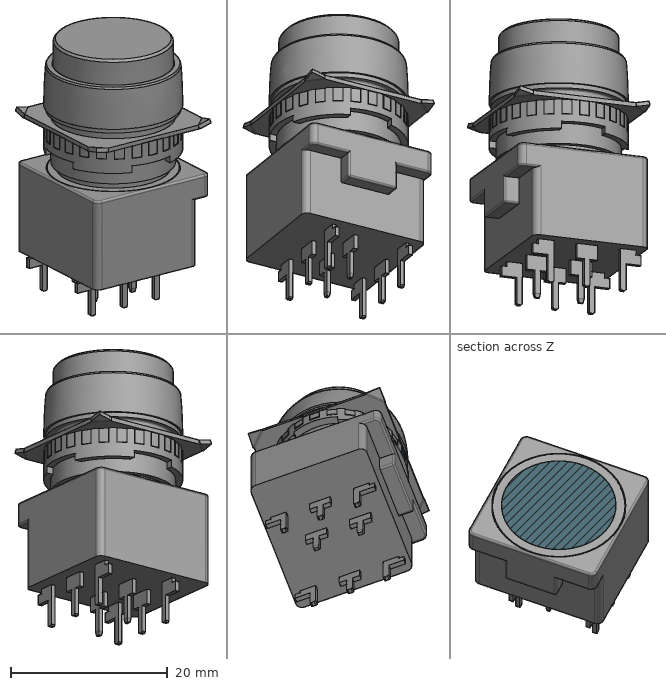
import cadquery as cq
import math

HOUSING_BOTTOM = 5.55
HOUSING_TOP = 17.7
NECK_TOP = 18.55
SKIRT_BOTTOM = 20.32
SKIRT_TOP = 21.25
SLOT_BOTTOM = 22.25
PLATE_BOTTOM = 24.18
PLATE_TOP = 24.75
FLANGE_BOTTOM = 25.77
BEZEL_BOTTOM = 26.37
BEZEL_TOP = 32.0
BUTTON_TOP = 35.4

BUTTON_BASE_RADIUS = 7.7
BUTTON_TOP_RADIUS = 7.68
BUTTON_CHAMFER_WIDTH = 0.3
BUTTON_CHAMFER_HEIGHT = 0.32
CLEARANCE = 0.1
BUTTON_GAP_DEPTH = 0.7
BEZEL_BOTTOM_RADIUS = 8.92
BEZEL_MIDDLE_RADIUS = 8.85
BEZEL_TOP_RADIUS = 8.67
BEZEL_CHAMFER_WIDTH = 0.15
BEZEL_CHAMFER_HEIGHT = 0.25
FLANGE_RADIUS = 8.67
FLANGE_ROOT_FILLET = 0.1
BARREL_RADIUS = 8.0
NECK_RADIUS = 7.33

SQUARE_SIDE = 17.8
HALF_SIDE = SQUARE_SIDE / 2

TAB_LEG = 1.88
TAB_ANGLE = 19.0

NUT_RADIUS = HALF_SIDE
SKIRT_GAP_WIDTH = 5.95
SLOT_COUNT = 24
SLOT_WIDTH = 1.27
SLOT_DEPTH = 0.1

CORNER_RADIUS = 0.85
EDGE_FILLET = 0.3
OVERHANG_BOTTOM = 14.6
REAR_FACE_Y = 6.9
LEVER_WIDTH = 7.08
LEVER_BOTTOM = 11.1
STEP_FILLET = 0.25
RING_GROOVE_OUTER_RADIUS = 8.55
RING_GROOVE_DEPTH = 0.35

TERMINAL_THICKNESS = 0.55
PRONG_WIDTH = 0.78
SHOULDER_BOTTOM = 3.6
CONTACT_ROWS_X = (-6.9, 3.82)
CONTACT_CENTER_Y = -1.03
CONTACT_REACH_INNER = 4.6
CONTACT_REACH_STEP = 6.73
CONTACT_REACH_OUTER = 7.45
STEP_BOTTOM = 4.92
COMMON_SHOULDER_WIDTH = 2.8
CONTACT_TIP_CHAMFER = 0.18
LAMP_SPACING = 6.02
LAMP_SHOULDER_WIDTH = 2.9
LAMP_TIP_HEIGHT = 0.53
LAMP_TIP_INSET = 0.1


def make_cylinder(radius, bottom, top):
    """Cylinder about Z between two heights."""
    return cq.Workplane("XY", origin=(0, 0, bottom)).circle(radius).extrude(top - bottom)


def make_operator():
    """Button, bezel, barrel and neck as one turned body."""
    gap_bottom = BEZEL_TOP - BUTTON_GAP_DEPTH
    bezel_rim = BEZEL_TOP - BEZEL_CHAMFER_HEIGHT
    return (
        cq.Workplane("XZ")
        .moveTo(0, HOUSING_TOP)
        .lineTo(NECK_RADIUS, HOUSING_TOP)
        .lineTo(NECK_RADIUS, NECK_TOP)
        .lineTo(BARREL_RADIUS, NECK_TOP)
        .lineTo(BARREL_RADIUS, FLANGE_BOTTOM - FLANGE_ROOT_FILLET)
        .radiusArc((BARREL_RADIUS + FLANGE_ROOT_FILLET, FLANGE_BOTTOM), FLANGE_ROOT_FILLET)
        .lineTo(FLANGE_RADIUS, FLANGE_BOTTOM)
        .lineTo(FLANGE_RADIUS, BEZEL_BOTTOM)
        .lineTo(BEZEL_BOTTOM_RADIUS, BEZEL_BOTTOM)
        .threePointArc((BEZEL_MIDDLE_RADIUS, (BEZEL_BOTTOM + bezel_rim) / 2), (BEZEL_TOP_RADIUS, bezel_rim))
        .lineTo(BEZEL_TOP_RADIUS - BEZEL_CHAMFER_WIDTH, BEZEL_TOP)
        .lineTo(BUTTON_BASE_RADIUS + CLEARANCE, BEZEL_TOP)
        .lineTo(BUTTON_BASE_RADIUS + CLEARANCE, gap_bottom)
        .lineTo(BUTTON_BASE_RADIUS, gap_bottom)
        .lineTo(BUTTON_BASE_RADIUS, BEZEL_TOP)
        .lineTo(BUTTON_TOP_RADIUS, BUTTON_TOP - BUTTON_CHAMFER_HEIGHT)
        .lineTo(BUTTON_TOP_RADIUS - BUTTON_CHAMFER_WIDTH, BUTTON_TOP)
        .lineTo(0, BUTTON_TOP)
        .close()
        .revolve(360, (0, 0, 0), (0, 1, 0))
    )


def make_corner_tab():
    """Corner triangle at +X +Y, bent up about its fold line, with the opened wedge filled."""
    thickness = PLATE_TOP - PLATE_BOTTOM
    fold = HALF_SIDE - TAB_LEG
    fold_start = cq.Vector(HALF_SIDE, fold, PLATE_TOP)
    fold_end = cq.Vector(fold, HALF_SIDE, PLATE_TOP)
    flap = (
        cq.Workplane("XY", origin=(0, 0, PLATE_BOTTOM))
        .polyline([(HALF_SIDE, fold), (HALF_SIDE, HALF_SIDE), (fold, HALF_SIDE)])
        .close()
        .extrude(thickness)
        .rotate(fold_end.toTuple(), fold_start.toTuple(), TAB_ANGLE)
    )
    angle = math.radians(TAB_ANGLE)
    fold_line_plane = cq.Plane(origin=fold_start.toTuple(), xDir=(1, 1, 0), normal=(1, -1, 0))
    wedge_outline = [
        (0, 0),
        (0, -thickness),
        (thickness * math.sin(angle), -thickness * math.cos(angle)),
    ]
    wedge = cq.Workplane(fold_line_plane).polyline(wedge_outline).close().extrude(-TAB_LEG * math.sqrt(2))
    return flap.union(wedge)


def make_plate():
    """Square washer around the barrel with four bent-up corners."""
    plate = (
        cq.Workplane("XY", origin=(0, 0, PLATE_BOTTOM))
        .rect(SQUARE_SIDE, SQUARE_SIDE)
        .extrude(PLATE_TOP - PLATE_BOTTOM)
        .edges("|Z")
        .chamfer(TAB_LEG)
    )
    tab = make_corner_tab()
    for quarter in range(4):
        plate = plate.union(tab.rotate((0, 0, 0), (0, 0, 1), 90 * quarter))
    return plate.cut(make_cylinder(BARREL_RADIUS, PLATE_BOTTOM, PLATE_TOP))


def make_nut():
    """Ring nut with grip slots at the top and a castellated skirt below."""
    ring = make_cylinder(NUT_RADIUS, SKIRT_BOTTOM, PLATE_BOTTOM)
    gap = (
        cq.Workplane("XY", origin=(0, 0, SKIRT_BOTTOM))
        .rect(2 * NUT_RADIUS, SKIRT_GAP_WIDTH)
        .extrude(SKIRT_TOP - SKIRT_BOTTOM)
    )
    crossing_gap = gap.rotate((0, 0, 0), (0, 0, 1), 90)

    slots = (
        cq.Workplane("XY", origin=(0, 0, SLOT_BOTTOM))
        .polarArray(NUT_RADIUS, 0, 360, SLOT_COUNT)
        .rect(NUT_RADIUS - BARREL_RADIUS, SLOT_WIDTH)
        .extrude(PLATE_BOTTOM - SLOT_BOTTOM)
    )
    slots = slots.cut(make_cylinder(NUT_RADIUS - SLOT_DEPTH, SLOT_BOTTOM, PLATE_BOTTOM))
    bore = make_cylinder(BARREL_RADIUS, SKIRT_BOTTOM, PLATE_BOTTOM)
    return ring.cut(gap).cut(crossing_gap).cut(slots).cut(bore)


def make_shell():
    """Square block whose lower part steps in at +Y under a full-size head, with a lever at the step."""
    head = (
        cq.Workplane("XY", origin=(0, 0, OVERHANG_BOTTOM))
        .rect(SQUARE_SIDE, SQUARE_SIDE)
        .extrude(HOUSING_TOP - OVERHANG_BOTTOM)
        .edges("|Z")
        .fillet(CORNER_RADIUS)
        .faces(">Z")
        .edges()
        .fillet(EDGE_FILLET)
        .faces("<Z")
        .edges()
        .fillet(STEP_FILLET)
    )
    lower_depth = REAR_FACE_Y + HALF_SIDE
    lower = (
        cq.Workplane("XY", origin=(0, REAR_FACE_Y - lower_depth / 2, HOUSING_BOTTOM))
        .rect(SQUARE_SIDE, lower_depth)
        .extrude(HOUSING_TOP - EDGE_FILLET - HOUSING_BOTTOM)
        .edges("|Z")
        .fillet(CORNER_RADIUS)
    )
    lever = (
        cq.Workplane("XY", origin=(0, (REAR_FACE_Y + HALF_SIDE) / 2, LEVER_BOTTOM))
        .rect(LEVER_WIDTH, HALF_SIDE - REAR_FACE_Y)
        .extrude(OVERHANG_BOTTOM + STEP_FILLET - LEVER_BOTTOM)
        .edges("(|Z and >Y) or (<Z and (not <Y))")
        .fillet(STEP_FILLET)
    )
    return head.union(lower).union(lever)


def cut_ring_groove(shell):
    """Narrow circular groove in the top face around the neck."""
    groove_bottom = HOUSING_TOP - RING_GROOVE_DEPTH
    groove = make_cylinder(RING_GROOVE_OUTER_RADIUS, groove_bottom, HOUSING_TOP)
    core = make_cylinder(RING_GROOVE_OUTER_RADIUS - CLEARANCE, groove_bottom, HOUSING_TOP)
    return shell.cut(groove.cut(core))


def make_end_contact(x, side):
    """Outer contact, its prong flush with the inner edge; side is +1 or -1 along Y."""
    inner = CONTACT_REACH_INNER
    prong_outer = inner + PRONG_WIDTH
    chamfer = CONTACT_TIP_CHAMFER
    outline = [
        (inner, HOUSING_BOTTOM),
        (inner, chamfer),
        (inner + chamfer, 0),
        (prong_outer - chamfer, 0),
        (prong_outer, chamfer),
        (prong_outer, SHOULDER_BOTTOM),
        (CONTACT_REACH_OUTER, SHOULDER_BOTTOM),
        (CONTACT_REACH_OUTER, STEP_BOTTOM),
        (CONTACT_REACH_STEP, STEP_BOTTOM),
        (CONTACT_REACH_STEP, HOUSING_BOTTOM),
    ]
    points = [(CONTACT_CENTER_Y + side * reach, z) for reach, z in outline]
    blade = cq.Workplane("YZ", origin=(x, 0, 0)).polyline(points).close()
    return blade.extrude(TERMINAL_THICKNESS / 2, both=True)


def make_shoulder(x, y, width):
    """Wide upper part of a terminal with a central prong."""
    return (
        cq.Workplane("XY", origin=(x, y, SHOULDER_BOTTOM))
        .rect(TERMINAL_THICKNESS, width)
        .extrude(HOUSING_BOTTOM - SHOULDER_BOTTOM)
    )


def make_prong(x, y):
    """Straight prong from the shoulder to the tip."""
    return cq.Workplane("XY", origin=(x, y, 0)).rect(TERMINAL_THICKNESS, PRONG_WIDTH).extrude(SHOULDER_BOTTOM)


def make_common_contact(x):
    """Middle contact of a row."""
    prong = make_prong(x, CONTACT_CENTER_Y).faces("<Z").edges("|X").chamfer(CONTACT_TIP_CHAMFER)
    return prong.union(make_shoulder(x, CONTACT_CENTER_Y, COMMON_SHOULDER_WIDTH))


def make_lamp_terminal(y):
    """Lamp terminal on the middle plane, its tip tapered on all four sides."""
    prong = make_prong(0, y).faces("<Z").chamfer(LAMP_TIP_HEIGHT, LAMP_TIP_INSET)
    return prong.union(make_shoulder(0, y, LAMP_SHOULDER_WIDTH))


def make_housing():
    """Housing block with its terminals."""
    housing = cut_ring_groove(make_shell())
    for x in CONTACT_ROWS_X:
        housing = housing.union(make_common_contact(x))
        for side in (1, -1):
            housing = housing.union(make_end_contact(x, side))
    for side in (1, -1):
        housing = housing.union(make_lamp_terminal(side * LAMP_SPACING / 2))
    return housing


operator = make_operator()
plate = make_plate()
nut = make_nut()
housing = make_housing()

result = cq.Compound.makeCompound([operator.val(), plate.val(), nut.val(), housing.val()])